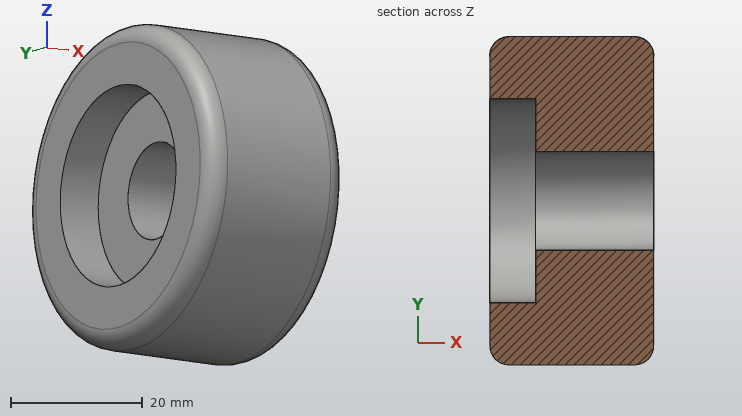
import cadquery as cq

wheel_diameter = 50.0
wheel_width = 25.0
edge_radius = 3.0
bore_diameter = 15.0
seat_diameter = 31.0
seat_depth = 7.0


def axial_cylinder(diameter, start_x, length):
    """Cylinder about the X axis, running from start_x toward +X."""
    return cq.Workplane("YZ", origin=(start_x, 0, 0)).circle(diameter / 2).extrude(length)


near_face_x = -wheel_width / 2

body = axial_cylinder(wheel_diameter, near_face_x, wheel_width).edges("%CIRCLE").fillet(edge_radius)

bore = axial_cylinder(bore_diameter, near_face_x, wheel_width)

seat = axial_cylinder(seat_diameter, near_face_x, seat_depth)

result = body.cut(bore).cut(seat)